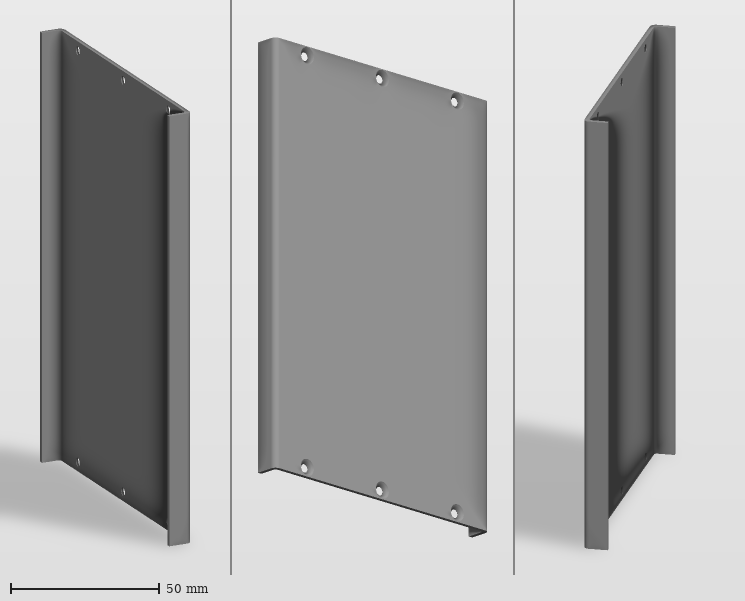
import cadquery as cq

width = 100.0
depth = 8.5
height = 153.2

thickness = 1.6
inner_bend_radius = 1.0
outer_bend_radius = 2.0

hole_diameter = 3.0
countersink_diameter = 6.0
countersink_angle = 90.0
hole_pitch = 35.0
hole_edge_distance = 3.3


def folded_channel():
    """U-shaped channel along Z: web at +Y, flanges pointing toward -Y."""
    outer = (
        cq.Workplane("XY")
        .box(width, depth, height)
        .edges("|Z and >Y")
        .fillet(outer_bend_radius)
    )
    inner = (
        cq.Workplane("XY")
        .box(width - 2 * thickness, depth, height)
        .edges("|Z and >Y")
        .fillet(inner_bend_radius)
        .translate((0, -thickness, 0))
    )
    return outer.cut(inner)


def add_mounting_holes(panel):
    """Drill the web right through, with the countersinks on its outer (+Y) face."""
    hole_columns = (-hole_pitch, 0.0, hole_pitch)
    row_offset = height / 2 - hole_edge_distance
    centers = [(x, z) for x in hole_columns for z in (-row_offset, row_offset)]
    return (
        panel.faces(">Y")
        .workplane(centerOption="CenterOfBoundBox")
        .pushPoints(centers)
        .cskHole(hole_diameter, countersink_diameter, countersink_angle)
    )


result = add_mounting_holes(folded_channel())